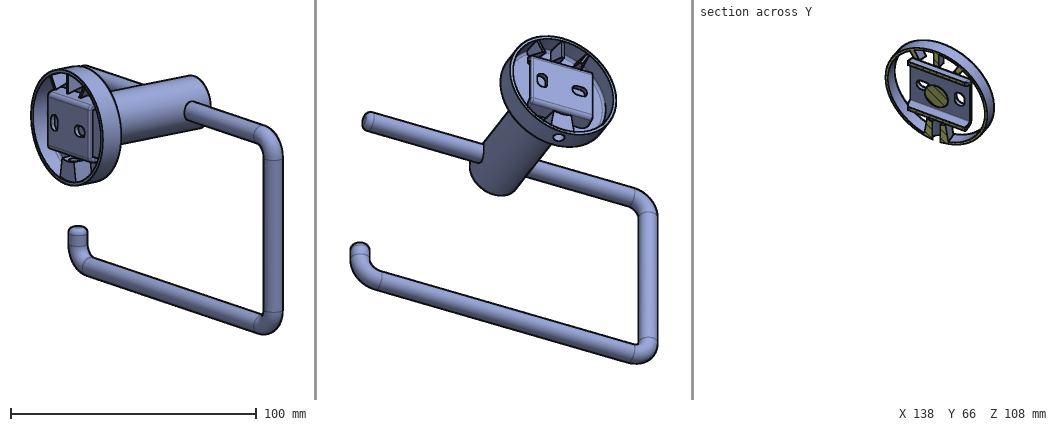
import cadquery as cq
import math

TOTAL_WIDTH = 138.0
TOTAL_DEPTH = 66.0

ROD_DIAMETER = 8.0
ROD_RADIUS = ROD_DIAMETER / 2
ROD_Y = 55.9
ROD_BEND = 8.0
ROD_TIP_FILLET = 2.5
ROD_SIDE_X = TOTAL_WIDTH / 2 - ROD_RADIUS
ROD_TOP_TIP_X = -63.0
ROD_LOWER_Z = -80.0
ROD_HOOK_TIP_Z = -65.0

FLANGE_RADIUS = 24.0
FLANGE_DEPTH = 10.0
FLANGE_FILLET = 1.0
CUP_RADIUS = 22.6
CUP_FILLET = 1.1
CUP_FLOOR_Y = 8.3

POST_RADIUS = 11.0
POST_FILLET = 0.8

RIB_FRONT_Y = 0.3
RIB_FRONT_HALF_WIDTH = 0.5
RIB_ANGLES = (-30, 0, 30)
RIB_BASE_HALF_WIDTH = 1.7
RIB_FRONT_END_Z = 14.4
RIB_BASE_END_Z = 16.8
BLOCK_FRONT_Y = 0.5
BLOCK_INNER_RADIUS = 14.4
BLOCK_INNER_HALF_WIDTH = 4.8
BLOCK_OUTER_HALF_WIDTH = 6.3
BLOCK_DRAFT = 6
SET_SCREW_HOLE_RADIUS = 2.3
SET_SCREW_HOLE_Y = 4.0

BRACKET_WIDTH = 28.0
BRACKET_FRONT_Y = 0.5
BRACKET_END_Y = 6.9
BRACKET_THICKNESS = 2.0
BRACKET_FRONT_HALF_HEIGHT = 11.7
BRACKET_END_HALF_HEIGHT = 13.5
BRACKET_BEND = 2.1
BRACKET_EDGE_FILLET = 0.8
BRACKET_LEG_CORNER = 3.3
SLOT_WIDTH = 4.5
SLOT_LENGTH = 6.6
LEFT_SLOT_X = -9.1
RIGHT_SLOT_X = 7.7

SCREW_HEAD_RADIUS = 5.5
SCREW_HEAD_HEIGHT = 2.8
SCREW_SHANK_RADIUS = 2.9
SCREW_LENGTH = 16.5


def cylinder_y(radius, start_y, end_y):
    """Cylinder on the post axis."""
    return cq.Workplane("XZ", origin=(0, start_y, 0)).circle(radius).extrude(start_y - end_y)


def make_rod():
    bend_offset = ROD_BEND * (1 - math.sqrt(0.5))
    hook_x = -ROD_SIDE_X
    path = (
        cq.Workplane("XZ", origin=(0, ROD_Y, 0))
        .moveTo(ROD_TOP_TIP_X, 0)
        .lineTo(ROD_SIDE_X - ROD_BEND, 0)
        .threePointArc((ROD_SIDE_X - bend_offset, -bend_offset), (ROD_SIDE_X, -ROD_BEND))
        .lineTo(ROD_SIDE_X, ROD_LOWER_Z + ROD_BEND)
        .threePointArc(
            (ROD_SIDE_X - bend_offset, ROD_LOWER_Z + bend_offset),
            (ROD_SIDE_X - ROD_BEND, ROD_LOWER_Z),
        )
        .lineTo(hook_x + ROD_BEND, ROD_LOWER_Z)
        .threePointArc(
            (hook_x + bend_offset, ROD_LOWER_Z + bend_offset),
            (hook_x, ROD_LOWER_Z + ROD_BEND),
        )
        .lineTo(hook_x, ROD_HOOK_TIP_Z)
    )
    rod = cq.Workplane("YZ", origin=(ROD_TOP_TIP_X, ROD_Y, 0)).circle(ROD_RADIUS).sweep(path)
    top_tip = cq.selectors.NearestToPointSelector((ROD_TOP_TIP_X, ROD_Y, 0))
    hook_tip = cq.selectors.NearestToPointSelector((hook_x, ROD_Y, ROD_HOOK_TIP_Z))
    rod = rod.faces(top_tip).edges().fillet(ROD_TIP_FILLET)
    return rod.faces(hook_tip).edges().fillet(ROD_TIP_FILLET)


def make_screw():
    head = cylinder_y(SCREW_HEAD_RADIUS, CUP_FLOOR_Y - SCREW_HEAD_HEIGHT, CUP_FLOOR_Y)
    shank = cylinder_y(SCREW_SHANK_RADIUS, CUP_FLOOR_Y, CUP_FLOOR_Y + SCREW_LENGTH)
    return head.union(shank)


def make_post(rod, screw):
    post = cylinder_y(POST_RADIUS, FLANGE_DEPTH, TOTAL_DEPTH)
    return post.faces(">Y").edges().fillet(POST_FILLET).cut(rod).cut(screw)


def make_rib(angle):
    """Radial drafted rib, narrower at the front, whose inner end leans like the bracket legs."""
    section = [
        (-RIB_BASE_HALF_WIDTH, CUP_FLOOR_Y),
        (-RIB_FRONT_HALF_WIDTH, RIB_FRONT_Y),
        (RIB_FRONT_HALF_WIDTH, RIB_FRONT_Y),
        (RIB_BASE_HALF_WIDTH, CUP_FLOOR_Y),
    ]
    web = cq.Workplane("XY").polyline(section).close().extrude(FLANGE_RADIUS)
    web = web.rotate((0, 0, 0), (0, 1, 0), angle)
    side_outline = [
        (RIB_FRONT_Y, RIB_FRONT_END_Z),
        (CUP_FLOOR_Y, RIB_BASE_END_Z),
        (CUP_FLOOR_Y, FLANGE_RADIUS),
        (RIB_FRONT_Y, FLANGE_RADIUS),
    ]
    kept = cq.Workplane("YZ").polyline(side_outline).close().extrude(FLANGE_RADIUS, both=True)
    return web.intersect(kept)


def make_block():
    """Drafted block for the set screw, with an inner end that is concentric with the flange."""
    slope = (BLOCK_OUTER_HALF_WIDTH - BLOCK_INNER_HALF_WIDTH) / (FLANGE_RADIUS - BLOCK_INNER_RADIUS)
    start = BLOCK_INNER_RADIUS / 2
    start_half_width = BLOCK_INNER_HALF_WIDTH - slope * (BLOCK_INNER_RADIUS - start)
    end = 2 * FLANGE_RADIUS
    end_half_width = BLOCK_OUTER_HALF_WIDTH + slope * (end - FLANGE_RADIUS)
    outline = [
        (-start_half_width, -start),
        (start_half_width, -start),
        (end_half_width, -end),
        (-end_half_width, -end),
    ]
    block = cq.Workplane("XZ", origin=(0, CUP_FLOOR_Y, 0)).polyline(outline).close()
    block = block.extrude(CUP_FLOOR_Y - BLOCK_FRONT_Y, taper=BLOCK_DRAFT)
    return block.cut(cylinder_y(BLOCK_INNER_RADIUS, 0, CUP_FLOOR_Y))


def make_flange(screw):
    outside = cylinder_y(FLANGE_RADIUS, 0, FLANGE_DEPTH).faces(">Y").edges().fillet(FLANGE_FILLET)
    cavity = cylinder_y(CUP_RADIUS, 0, CUP_FLOOR_Y).faces(">Y").edges().fillet(CUP_FILLET)
    fittings = make_block()
    for angle in RIB_ANGLES:
        fittings = fittings.union(make_rib(angle))
    flange = outside.cut(cavity.cut(fittings))
    set_screw_hole = (
        cq.Workplane("XY", origin=(0, SET_SCREW_HOLE_Y, 0))
        .circle(SET_SCREW_HOLE_RADIUS)
        .extrude(-FLANGE_RADIUS)
    )
    return flange.cut(set_screw_hole).cut(screw)


def bracket_profile(inset, bend):
    """Solid trapezoid across the full bracket width, shrunk by the inset on its three plate sides."""
    front = BRACKET_FRONT_HALF_HEIGHT - inset
    end = BRACKET_END_HALF_HEIGHT - inset
    front_y = BRACKET_FRONT_Y + inset
    trapezoid = [(front_y, front), (BRACKET_END_Y, end), (BRACKET_END_Y, -end), (front_y, -front)]
    solid = cq.Workplane("YZ").polyline(trapezoid).close().extrude(BRACKET_WIDTH / 2, both=True)
    return solid.faces("<Y").edges("|X").fillet(bend)


def make_bracket():
    channel = bracket_profile(0, BRACKET_BEND).cut(
        bracket_profile(BRACKET_THICKNESS, BRACKET_BEND - BRACKET_THICKNESS)
    )
    bracket = channel.faces("<Y").edges("|Z").fillet(BRACKET_EDGE_FILLET)
    depth = BRACKET_END_Y - BRACKET_FRONT_Y
    plan = cq.Workplane("XY").box(BRACKET_WIDTH, depth, FLANGE_RADIUS * 2)
    plan = plan.translate((0, BRACKET_FRONT_Y + depth / 2, 0))
    bracket = bracket.intersect(plan.edges("|Z and >Y").fillet(BRACKET_LEG_CORNER))
    for slot_x, slot_angle in ((LEFT_SLOT_X, 90), (RIGHT_SLOT_X, 0)):
        slot = (
            cq.Workplane("XZ")
            .center(slot_x, 0)
            .slot2D(SLOT_LENGTH, SLOT_WIDTH, slot_angle)
            .extrude(-BRACKET_FRONT_Y - BRACKET_THICKNESS)
        )
        bracket = bracket.cut(slot)
    return bracket


rod = make_rod()
screw = make_screw()
post = make_post(rod, screw)
flange = make_flange(screw)
bracket = make_bracket()

result = cq.Compound.makeCompound(
    [rod.val(), screw.val(), post.val(), flange.val(), bracket.val()]
)